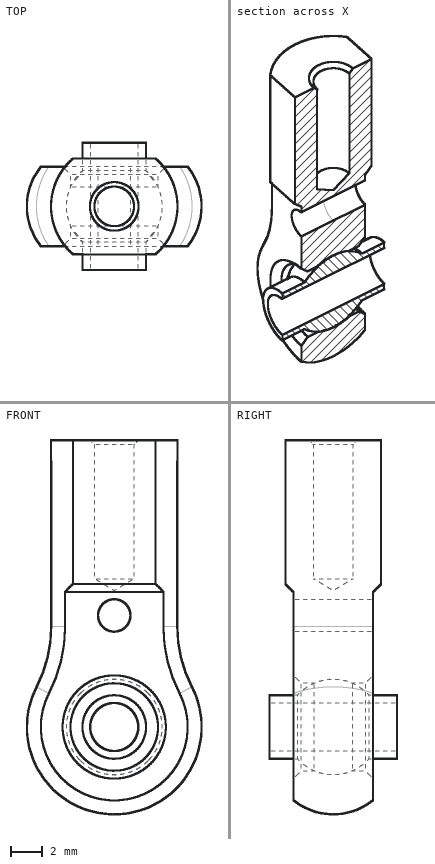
import cadquery as cq
import math


shank_radius = 3.97
shank_top = 18.0
shank_flat_width = 6.01
step_top = 8.97

head_radius = 5.5
head_thickness = 5.0
neck_top = 6.3

thread_radius = 1.25
thread_mouth_radius = 1.53
thread_depth = 8.7
drill_point_angle = 118.0
cross_hole_radius = 1.0
cross_hole_height = 7.0

ball_radius = 3.0
socket_throat_radius = 2.75
socket_mouth_radius = 3.25
sleeve_radius = 2.0
sleeve_bore_radius = 1.5
sleeve_length = 8.0

neck_radius = (shank_radius**2 + neck_top**2 - head_radius**2) / (2 * (head_radius - shank_radius))
neck_center_x = shank_radius + neck_radius
neck_angle = math.atan2(neck_top, neck_center_x)

half_head = head_thickness / 2
step_height = (shank_flat_width - head_thickness) / 2
edge_drop = shank_radius - math.sqrt(shank_radius**2 - half_head**2)


def y_cylinder(radius, length, height=0.0):
    """Cylinder along Y, centred on the XZ plane."""
    return cq.Workplane("XZ").center(0, height).circle(radius).extrude(length / 2, both=True)


def make_shank():
    """Round bar with two wrench flats that slope in to the head thickness."""
    bar = cq.Workplane("XY").workplane(offset=neck_top).circle(shank_radius).extrude(shank_top - neck_top)
    half_flat = shank_flat_width / 2
    step_bottom = step_top - step_height
    side_outline = (
        cq.Workplane("YZ")
        .moveTo(-half_head, neck_top)
        .lineTo(half_head, neck_top)
        .lineTo(half_head, step_bottom)
        .lineTo(half_flat, step_top)
        .lineTo(half_flat, shank_top)
        .lineTo(-half_flat, shank_top)
        .lineTo(-half_flat, step_top)
        .lineTo(-half_head, step_bottom)
        .close()
        .extrude(shank_radius, both=True)
    )
    return bar.intersect(side_outline)


def make_head():
    """Disc whose rim is crowned with the shank's radius."""
    rim = head_radius - edge_drop
    return (
        cq.Workplane("XY")
        .moveTo(0, -half_head)
        .lineTo(rim, -half_head)
        .threePointArc((head_radius, 0), (rim, half_head))
        .lineTo(0, half_head)
        .close()
        .revolve(360, (0, 0, 0), (0, 1, 0))
    )


def make_neck():
    """Flared web between head and shank, with the same crowned side."""
    joint_x = head_radius * math.cos(neck_angle)
    joint_z = head_radius * math.sin(neck_angle)
    web = (
        cq.Workplane("XZ")
        .lineTo(joint_x, joint_z)
        .lineTo(neck_center_x, neck_top)
        .lineTo(-neck_center_x, neck_top)
        .lineTo(-joint_x, joint_z)
        .close()
        .extrude(half_head, both=True)
    )
    crown = neck_radius + edge_drop
    hollow = (
        cq.Workplane("XY")
        .moveTo(0, -half_head)
        .lineTo(crown, -half_head)
        .threePointArc((neck_radius, 0), (crown, half_head))
        .lineTo(0, half_head)
        .close()
        .revolve(360, (0, 0, 0), (0, 1, 0))
    )
    for side in (-1, 1):
        web = web.cut(hollow.translate((side * neck_center_x, 0, neck_top)))
    return web


def make_thread_hole():
    """Drilled hole with a 45 degree mouth and a conical bottom."""
    bottom = shank_top - thread_depth
    tip = bottom - thread_radius / math.tan(math.radians(drill_point_angle / 2))
    mouth_depth = thread_mouth_radius - thread_radius
    return (
        cq.Workplane("XZ")
        .moveTo(0, tip)
        .lineTo(thread_radius, bottom)
        .lineTo(thread_radius, shank_top - mouth_depth)
        .lineTo(thread_mouth_radius, shank_top)
        .lineTo(0, shank_top)
        .close()
        .revolve(360, (0, 0, 0), (0, 1, 0))
    )


def make_socket():
    """Spherical seat for the ball, with a round throat and 45 degree mouth at each face."""
    throat = math.sqrt(ball_radius**2 - socket_throat_radius**2)
    mouth = half_head - (socket_mouth_radius - socket_throat_radius)
    return (
        cq.Workplane("XY")
        .moveTo(0, -half_head)
        .lineTo(socket_mouth_radius, -half_head)
        .lineTo(socket_throat_radius, -mouth)
        .lineTo(socket_throat_radius, -throat)
        .threePointArc((ball_radius, 0), (socket_throat_radius, throat))
        .lineTo(socket_throat_radius, mouth)
        .lineTo(socket_mouth_radius, half_head)
        .lineTo(0, half_head)
        .close()
        .revolve(360, (0, 0, 0), (0, 1, 0))
    )


def make_rod_end():
    """Head, neck and shank in one piece, with all its holes."""
    body = make_head().union(make_neck()).union(make_shank())
    body = body.cut(make_thread_hole())
    body = body.cut(y_cylinder(cross_hole_radius, shank_flat_width, cross_hole_height))
    return body.cut(make_socket())


def make_pivot_ball():
    """Ball with a sleeve through it and a plain bore."""
    ball = cq.Workplane("XY").sphere(ball_radius)
    return ball.union(y_cylinder(sleeve_radius, sleeve_length)).cut(
        y_cylinder(sleeve_bore_radius, sleeve_length)
    )


rod_end = make_rod_end()
pivot_ball = make_pivot_ball()

result = cq.Compound.makeCompound([rod_end.val(), pivot_ball.val()])